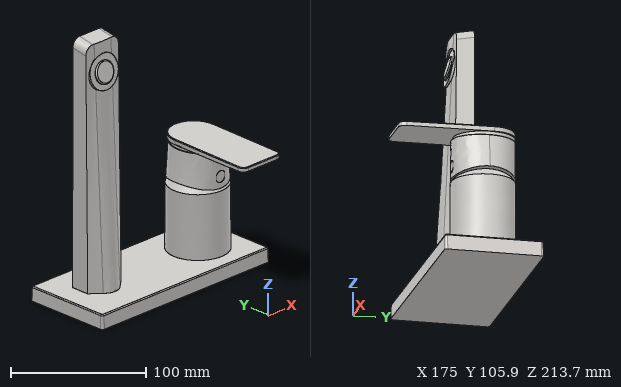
import cadquery as cq
import math

PLATE_LENGTH = 175.0
PLATE_WIDTH = 75.7
PLATE_HEIGHT = 12.0
PLATE_CORNER_RADIUS = 2.1
PLATE_TOP_CHAMFER = 0.9
PLATE_DRAFT = 2.0

TOTAL_HEIGHT = 213.7
SPOUT_X = -50.0
SPOUT_BACK_Y = 13.7
SPOUT_NOSE_HALF = 8.8
SPOUT_FOOT_HALF = 17.5
SPOUT_FOOT_SIDE_Y = -2.5
SPOUT_FOOT_SHOULDER_Y = -10.5
SPOUT_FOOT_NOSE_Y = -14.5
SPOUT_HEAD_HALF = 17.0
SPOUT_HEAD_SIDE_Y = 0.0
SPOUT_HEAD_SHOULDER_Y = -0.2
SPOUT_HEAD_NOSE_Y = -0.5
SPOUT_TOP_DROP = 2.5
SPOUT_CORNER_RADIUS = 7.0

OUTLET_Z = 186.8
DISC_RADIUS = 14.5
DISC_FACE_Y = -2.1
DISC_TILT = 10.0
BUTTON_RADIUS = 9.5
BUTTON_FACE_Y = -3.6
BUTTON_TILT = 14.5
BUTTON_CHAMFER = 1.0
OUTLET_DEPTH = 8.5
OUTLET_CLEARANCE = 10.7

VALVE_X = 50.0
VALVE_RADIUS = 24.8
VALVE_TOP_RADIUS = 24.4
VALVE_TOP_Z = 65.2
SHOULDER_RADIUS = 20.0
SHOULDER_HEIGHT = 5.5

HANDLE_RADIUS = 24.2
HANDLE_TOP_HALF = 20.3
HANDLE_LOW_Z = 67.3
HANDLE_RIM_RISE = 4.7
HANDLE_TOP_Z = 97.3
NECK_INSET = 0.9
INDEX_Z = 76.7
INDEX_RADIUS = 4.7
INDEX_DEPTH = 0.5

LEVER_BACK_BOTTOM_Z = 100.2
LEVER_BACK_TOP_Z = 104.5
LEVER_TIP_BOTTOM_Z = 99.5
LEVER_TIP_TOP_Z = 103.2
LEVER_TIP_Y = -68.0
LEVER_TIP_RADIUS = 5.3
LEVER_EDGE_CHAMFER = 0.6


def make_plate():
    outline = cq.Sketch().rect(PLATE_LENGTH, PLATE_WIDTH).vertices().fillet(PLATE_CORNER_RADIUS)
    plate = cq.Workplane("XY").placeSketch(outline).extrude(PLATE_HEIGHT, taper=PLATE_DRAFT)
    return plate.faces(">Z").chamfer(PLATE_TOP_CHAMFER)


def spout_section(z, half_width, side_y, shoulder_y, nose_y):
    """Closed outline: flat back and sides, slanted shoulders, rounded nose."""
    return (
        cq.Workplane("XY", origin=(SPOUT_X, 0, z))
        .moveTo(-half_width, SPOUT_BACK_Y)
        .lineTo(-half_width, side_y)
        .lineTo(-SPOUT_NOSE_HALF, shoulder_y)
        .threePointArc((0, nose_y), (SPOUT_NOSE_HALF, shoulder_y))
        .lineTo(half_width, side_y)
        .lineTo(half_width, SPOUT_BACK_Y)
        .close()
        .wires()
        .val()
    )


def make_spout():
    """Column whose pronounced nose at the foot fades to a nearly flat front at the top."""
    foot = spout_section(
        0, SPOUT_FOOT_HALF, SPOUT_FOOT_SIDE_Y, SPOUT_FOOT_SHOULDER_Y, SPOUT_FOOT_NOSE_Y
    )
    head = spout_section(
        TOTAL_HEIGHT, SPOUT_HEAD_HALF, SPOUT_HEAD_SIDE_Y, SPOUT_HEAD_SHOULDER_Y, SPOUT_HEAD_NOSE_Y
    )
    column = cq.Workplane(cq.Solid.makeLoft([foot, head], True))
    top_slope = SPOUT_TOP_DROP / SPOUT_BACK_Y
    reach = 2 * SPOUT_BACK_Y
    below_slope = (
        cq.Workplane("YZ", origin=(SPOUT_X, 0, 0))
        .moveTo(SPOUT_BACK_Y, 0)
        .lineTo(SPOUT_BACK_Y, TOTAL_HEIGHT)
        .lineTo(SPOUT_BACK_Y - reach, TOTAL_HEIGHT - reach * top_slope)
        .lineTo(SPOUT_BACK_Y - reach, 0)
        .close()
        .extrude(2 * SPOUT_FOOT_HALF, both=True)
    )
    column = column.intersect(below_slope)
    top_sides = column.faces(">Z").edges("<X or >X")
    return top_sides.fillet(SPOUT_CORNER_RADIUS)


def outlet_plane(face_y, tilt):
    """Plane on a front face that leans back by the tilt angle towards the top."""
    angle = math.radians(tilt)
    normal = (0, -math.cos(angle), math.sin(angle))
    return cq.Workplane(cq.Plane(origin=(SPOUT_X, face_y, OUTLET_Z), xDir=(1, 0, 0), normal=normal))


def add_outlet(spout):
    disc_plane = outlet_plane(DISC_FACE_Y, DISC_TILT)
    clearance = disc_plane.circle(DISC_RADIUS).extrude(OUTLET_CLEARANCE)
    disc = disc_plane.circle(DISC_RADIUS).extrude(-OUTLET_DEPTH)
    button = outlet_plane(BUTTON_FACE_Y, BUTTON_TILT).circle(BUTTON_RADIUS).extrude(-OUTLET_DEPTH)
    button = button.edges("<Y").chamfer(BUTTON_CHAMFER)
    return spout.cut(clearance).union(disc).union(button)


def make_valve_body():
    """Slightly tapered barrel with a conical shoulder running up into the handle."""
    return (
        cq.Workplane("XZ", origin=(VALVE_X, 0, 0))
        .moveTo(0, 0)
        .lineTo(VALVE_RADIUS, 0)
        .lineTo(VALVE_TOP_RADIUS, VALVE_TOP_Z)
        .lineTo(SHOULDER_RADIUS, VALVE_TOP_Z + SHOULDER_HEIGHT)
        .lineTo(SHOULDER_RADIUS, HANDLE_TOP_Z - SHOULDER_HEIGHT)
        .lineTo(0, HANDLE_TOP_Z - SHOULDER_HEIGHT)
        .close()
        .revolve(360, (0, 0), (0, 1))
    )


def make_handle():
    """Round foot narrowing to an ellipse, with its lower rim trimmed by a wide cylinder."""
    handle = (
        cq.Workplane("XY", origin=(VALVE_X, 0, HANDLE_LOW_Z))
        .circle(HANDLE_RADIUS)
        .workplane(offset=HANDLE_TOP_Z - HANDLE_LOW_Z)
        .ellipse(HANDLE_TOP_HALF, HANDLE_RADIUS)
        .loft(ruled=True)
    )
    rim_radius = (HANDLE_RADIUS**2 + HANDLE_RIM_RISE**2) / (2 * HANDLE_RIM_RISE)
    rim_trim = (
        cq.Workplane("XZ", origin=(VALVE_X, 0, HANDLE_LOW_Z + rim_radius))
        .circle(rim_radius)
        .extrude(2 * HANDLE_RADIUS, both=True)
    )
    handle = handle.intersect(rim_trim)
    index_recess = (
        cq.Workplane("XZ", origin=(VALVE_X, -HANDLE_RADIUS + INDEX_DEPTH, INDEX_Z))
        .circle(INDEX_RADIUS)
        .extrude(HANDLE_RADIUS)
    )
    neck = (
        cq.Workplane("XY", origin=(VALVE_X, NECK_INSET, HANDLE_TOP_Z))
        .ellipse(HANDLE_TOP_HALF - NECK_INSET, HANDLE_RADIUS - NECK_INSET)
        .extrude(LEVER_BACK_BOTTOM_Z - HANDLE_TOP_Z)
    )
    return handle.cut(index_recess).union(neck)


def make_lever():
    """Flat paddle with a round back end, drooping and thinning slightly towards its tip."""
    back_centre_y = HANDLE_RADIUS - HANDLE_TOP_HALF
    outline = (
        cq.Workplane("XY", origin=(VALVE_X, 0, LEVER_TIP_BOTTOM_Z))
        .moveTo(-HANDLE_TOP_HALF, LEVER_TIP_Y)
        .lineTo(-HANDLE_TOP_HALF, back_centre_y)
        .threePointArc((0, HANDLE_RADIUS), (HANDLE_TOP_HALF, back_centre_y))
        .lineTo(HANDLE_TOP_HALF, LEVER_TIP_Y)
        .close()
        .extrude(LEVER_BACK_TOP_Z - LEVER_TIP_BOTTOM_Z)
        .edges("|Z and <Y")
        .fillet(LEVER_TIP_RADIUS)
    )
    thickness_profile = (
        cq.Workplane("YZ", origin=(VALVE_X, 0, 0))
        .moveTo(HANDLE_RADIUS, LEVER_BACK_BOTTOM_Z)
        .lineTo(HANDLE_RADIUS, LEVER_BACK_TOP_Z)
        .lineTo(LEVER_TIP_Y, LEVER_TIP_TOP_Z)
        .lineTo(LEVER_TIP_Y, LEVER_TIP_BOTTOM_Z)
        .close()
        .extrude(HANDLE_TOP_HALF, both=True)
    )
    lever = outline.intersect(thickness_profile)
    return lever.faces(">Z").chamfer(LEVER_EDGE_CHAMFER)


result = (
    make_plate()
    .union(add_outlet(make_spout()))
    .union(make_valve_body())
    .union(make_handle())
    .union(make_lever())
)